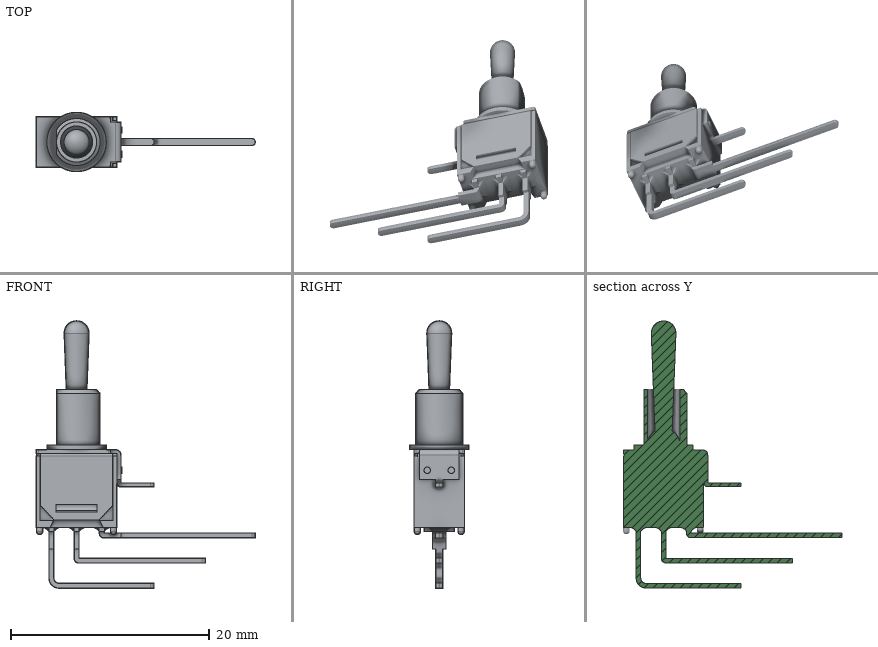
import cadquery as cq
import math


case_length = 8.15
case_width = 5.13
case_half_x = case_length / 2
case_half_y = case_width / 2
wall_top = 7.2
tab_top = 7.45

side_panel_half_x = 3.62
end_tab_half_y = 2.19
end_tab_setback = 0.05
fold_radius = 0.22

recess_half_x = 3.7
recess_floor = 0.7
panel_thickness = 0.35
panel_bottom = 0.78
panel_bottom_half_x = 2.3
panel_corner_height = 2.19

notch_bottom_half_x = 2.67
notch_depth = 0.95

tongue_half_x = 2.08
tongue_bottom = 1.6
tongue_top = 2.32
tongue_angle = math.radians(28)
tongue_lip_top = 1.73
tongue_lip_setback = 0.03

frame_thickness = 0.4
frame_top = tab_top + frame_thickness
frame_corner_radius = 0.22
fold_half_y = 2.0
shoulder_x = 3.43
fold_bottom = 4.83
fold_outer_radius = 0.55
frame_face_x = case_half_x + frame_thickness

rivet_diameter = 0.65
rivet_height = 0.08
rivet_y = 1.21
rivet_z = 5.77

washer_diameter = 6.0
washer_thickness = 0.49
washer_top = frame_top + washer_thickness
bushing_radius = 2.37
bushing_top = 13.92
bushing_chamfer_width = 0.35
bushing_chamfer_height = 0.4
bushing_flat_x = -2.02
bore_diameter = 3.25
lever_top = 20.85
ball_radius = 1.27
ball_center = lever_top - ball_radius
lever_neck_radius = 1.05
pivot_overlap = 0.05

pitch = 2.54
lead_thickness = 0.5
lead_width = 0.73
tight_bend_radius = 0.49
wide_bend_radius = 2 * lead_thickness
lead_root_width = 1.4
root_bottom = -2.19
root_end_x = frame_face_x
top_lead_bottom = -1.05
long_lead_end = 18.02
middle_lead_end = 13.0
short_lead_end = 7.82
lead_tip_radius = 0.35
embed = 0.55
tab_width = 3.05
tab_depth = 0.4

frame_lead_bottom = 4.1
frame_lead_bend_radius = 0.35

sealant_spread_x = 1.0
sealant_spread_y = 0.62
sealant_height = 0.38

foot_diameter = 0.65
foot_inset = 0.35
foot_shoulder = -0.38


def block(x_min, x_max, half_y, z_min, z_max):
    """Box centered on Y = 0."""
    size = (x_max - x_min, 2 * half_y, z_max - z_min)
    return cq.Workplane("XY").box(*size, centered=False).translate((x_min, -half_y, z_min))


def disc(diameter, z_min, z_max):
    """Cylinder on the lever axis."""
    return cq.Workplane("XY").workplane(offset=z_min).circle(diameter / 2).extrude(z_max - z_min)


def on_both_sides(feature):
    """The feature together with its mirror image across Y = 0."""
    return feature.union(feature.mirror("XZ"))


def side_prism(points, depth):
    """Prism with an XZ outline, running inward from the -Y face of the case."""
    return cq.Workplane("XZ", origin=(0, -case_half_y, 0)).polyline(points).close().extrude(-depth)


def make_panel():
    """Side panel with its two lower corners cut off."""
    return side_prism(
        [
            (-side_panel_half_x, wall_top),
            (-side_panel_half_x, panel_corner_height),
            (-panel_bottom_half_x, panel_bottom),
            (panel_bottom_half_x, panel_bottom),
            (side_panel_half_x, panel_corner_height),
            (side_panel_half_x, wall_top),
        ],
        panel_thickness,
    )


def make_recess():
    """Recess that holds a side panel."""
    return side_prism(
        [
            (-recess_half_x, recess_floor),
            (recess_half_x, recess_floor),
            (recess_half_x, wall_top),
            (-recess_half_x, wall_top),
        ],
        panel_thickness,
    )


def make_notch():
    """Notch with sloping ends below a side panel."""
    return side_prism(
        [
            (-notch_bottom_half_x, 0),
            (notch_bottom_half_x, 0),
            (panel_bottom_half_x, panel_bottom),
            (-panel_bottom_half_x, panel_bottom),
        ],
        notch_depth,
    )


def make_tongue_opening():
    """Opening above the tongue, whose face is a flat lip and then a slope running inward."""
    lip_y = -case_half_y + tongue_lip_setback
    slope_inset = (tongue_top - tongue_lip_top) * math.tan(tongue_angle)
    return (
        cq.Workplane("YZ", origin=(-tongue_half_x, 0, 0))
        .polyline(
            [
                (-case_half_y, tongue_bottom),
                (lip_y, tongue_bottom),
                (lip_y, tongue_lip_top),
                (lip_y + slope_inset, tongue_top),
                (-case_half_y, tongue_top),
            ]
        )
        .close()
        .extrude(2 * tongue_half_x)
    )


def make_case():
    """Case with its side panels, top tabs, lower notches and tongue openings."""
    walls = block(-case_half_x, case_half_x, case_half_y, 0, wall_top)
    end_tabs = block(end_tab_setback - case_half_x, case_half_x, end_tab_half_y, wall_top, tab_top)
    side_tabs = block(-side_panel_half_x, side_panel_half_x, case_half_y, wall_top, tab_top)
    side_tabs = side_tabs.edges("|X and >Z").fillet(fold_radius)
    case = walls.cut(on_both_sides(make_recess())).union(on_both_sides(make_panel()))
    case = case.union(end_tabs).union(side_tabs)
    return case.cut(on_both_sides(make_notch())).cut(on_both_sides(make_tongue_opening()))


def bent_strip(x_left, z_top, x_end, z_bottom, thickness, width, bend_radius):
    """L-shaped strip: a leg down from z_top, then a run in +X ending at x_end."""
    strip = (
        cq.Workplane("XZ")
        .polyline(
            [
                (x_left, z_top),
                (x_left, z_bottom),
                (x_end, z_bottom),
                (x_end, z_bottom + thickness),
                (x_left + thickness, z_bottom + thickness),
                (x_left + thickness, z_top),
            ]
        )
        .close()
        .extrude(width / 2, both=True)
    )
    strip = strip.edges("|Y and <X and <Z").fillet(bend_radius)
    if bend_radius > thickness:
        inner_corner = (x_left + thickness, 0, z_bottom + thickness)
        inner_edge = cq.selectors.NearestToPointSelector(inner_corner)
        strip = strip.edges("|Y").edges(inner_edge).fillet(bend_radius - thickness)
    return strip


def make_frame():
    """Top plate, its fold over the +X end, the rivet heads and the frame lead."""
    plate = block(-case_half_x, shoulder_x, case_half_y, tab_top, frame_top)
    plate = plate.edges("|Z").fillet(frame_corner_radius)
    fold = block(0, frame_face_x, fold_half_y, fold_bottom, frame_top)
    fold = fold.edges("|Y and >X and >Z").fillet(fold_outer_radius)
    fold = fold.cut(block(0, case_half_x, fold_half_y, fold_bottom, tab_top))
    rivets = (
        cq.Workplane("YZ", origin=(frame_face_x, 0, 0))
        .pushPoints([(-rivet_y, rivet_z), (rivet_y, rivet_z)])
        .circle(rivet_diameter / 2)
        .extrude(rivet_height)
    )
    lead = bent_strip(
        case_half_x, fold_bottom, short_lead_end, frame_lead_bottom,
        frame_thickness, lead_width, frame_lead_bend_radius,
    )
    lead = lead.edges("|Z and >X").fillet(lead_tip_radius)
    return plate.union(fold).union(rivets).union(lead)


def make_bushing():
    """Bored and chamfered bushing with one flat, standing on a washer."""
    bushing = (
        cq.Workplane("XZ")
        .polyline(
            [
                (0, washer_top),
                (bushing_radius, washer_top),
                (bushing_radius, bushing_top - bushing_chamfer_height),
                (bushing_radius - bushing_chamfer_width, bushing_top),
                (0, bushing_top),
            ]
        )
        .close()
        .revolve()
    )
    beyond_flat = block(-bushing_radius, bushing_flat_x, bushing_radius, washer_top, bushing_top)
    bore = disc(bore_diameter, washer_top, bushing_top)
    washer = disc(washer_diameter, frame_top, washer_top)
    return bushing.cut(beyond_flat).cut(bore).union(washer)


def make_lever():
    """Lever that narrows from its ball end down to a pivot ball that closes the bore."""
    taper = (ball_radius - lever_neck_radius) / (ball_center - bushing_top)
    foot_radius = lever_neck_radius - taper * (bushing_top - washer_top)
    arc_middle = ball_radius * math.sqrt(0.5)
    lever = (
        cq.Workplane("XZ")
        .moveTo(0, washer_top)
        .lineTo(foot_radius, washer_top)
        .lineTo(ball_radius, ball_center)
        .threePointArc((arc_middle, ball_center + arc_middle), (0, lever_top))
        .close()
        .revolve()
    )
    pivot = cq.Workplane("XY").sphere(bore_diameter / 2 + pivot_overlap)
    return lever.union(pivot.translate((0, 0, washer_top)))


def flare(plane, half_width, spread):
    """Prism whose sides sweep outward by the spread, in concave arcs, up to the case underside."""
    near = 1 - math.sqrt(0.5)
    middle_u = half_width + spread * near
    middle_z = -sealant_height * near
    outer_u = half_width + spread
    return (
        cq.Workplane(plane)
        .moveTo(-outer_u, 0)
        .threePointArc((-middle_u, middle_z), (-half_width, -sealant_height))
        .lineTo(half_width, -sealant_height)
        .threePointArc((middle_u, middle_z), (outer_u, 0))
        .close()
        .extrude(case_half_y, both=True)
    )


def make_sealant(x_center):
    """Concave sealant mound around one terminal, with an elliptical rim."""
    half_x = lead_thickness / 2
    half_y = lead_root_width / 2
    across_x = flare("XZ", half_x, sealant_spread_x)
    across_y = flare("YZ", half_y, sealant_spread_y)
    rim = cq.Workplane("XY").ellipse(half_x + sealant_spread_x, half_y + sealant_spread_y)
    mound = across_x.intersect(across_y).intersect(rim.extrude(-sealant_height))
    return mound.translate((x_center, 0, 0))


def make_terminal(x_center, x_end, z_bottom, bend_radius):
    """Bent lead with a wide root, a cross tab under the case and its sealant."""
    x_left = x_center - lead_thickness / 2
    course = (x_left, embed, x_end, z_bottom, lead_thickness)
    lead = bent_strip(*course, lead_width, bend_radius).edges("|Z and >X").fillet(lead_tip_radius)
    root_zone = block(x_left, root_end_x, case_half_y, root_bottom, embed)
    root = bent_strip(*course, lead_root_width, bend_radius).intersect(root_zone)
    tab = block(x_left, x_left + lead_thickness, tab_width / 2, -tab_depth, embed)
    return lead.union(root).union(tab).union(make_sealant(x_center))


def make_foot():
    """Standoff foot with a domed end."""
    radius = foot_diameter / 2
    arc_middle = radius * math.sqrt(0.5)
    return (
        cq.Workplane("XZ")
        .moveTo(0, 0)
        .lineTo(radius, 0)
        .lineTo(radius, foot_shoulder)
        .threePointArc((arc_middle, foot_shoulder - arc_middle), (0, foot_shoulder - radius))
        .close()
        .revolve()
    )


result = make_case().union(make_frame()).union(make_bushing()).union(make_lever())

terminal_shapes = [
    (long_lead_end, tight_bend_radius),
    (middle_lead_end, tight_bend_radius),
    (short_lead_end, wide_bend_radius),
]
for index, (lead_end, bend_radius) in enumerate(terminal_shapes):
    terminal_x = pitch * (1 - index)
    lead_bottom = top_lead_bottom - index * pitch
    result = result.union(make_terminal(terminal_x, lead_end, lead_bottom, bend_radius))

for side_x in (-1, 1):
    for side_y in (-1, 1):
        foot_x = side_x * (case_half_x - foot_inset)
        foot_y = side_y * (case_half_y - foot_inset)
        result = result.union(make_foot().translate((foot_x, foot_y, 0)))